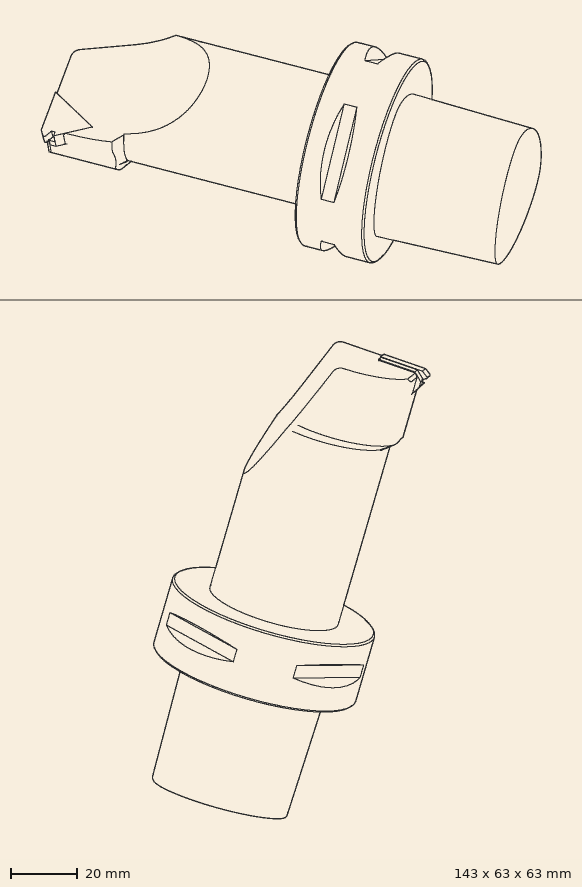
import cadquery as cq
import math

TOTAL_LENGTH = 143.0
SHANK_RADIUS = 20.0
BLEND_X = 24.9

FLANGE_START = 83.1
FLANGE_END = 105.0
FLANGE_RADIUS = 63.0 / 2
FLANGE_CHAMFER = 0.6
GROOVE_COUNT = 4
GROOVE_X = 93.1
GROOVE_FLOOR_WIDTH = 4.0
GROOVE_MOUTH_WIDTH = 7.6
GROOVE_FLOOR_DISTANCE = 27.9

LOBE_COUNT = 3
LOBE_HEIGHT = 1.6
TAPER_ROOT_RADIUS = 22.0
TAPER_END_RADIUS = 21.0
TAPER_POINTS = 36

HEAD_FRONT_X = 0.6
HEAD_END_X = 22.2
HEAD_CENTER_Y = -2.3
HEAD_CENTER_Z = -2.6
SIDE_Y = -23.0
SIDE_FLAT_TOP_Z = -0.1
SIDE_FLAT_BOTTOM_Z = -11.5
SIDE_STRIP_TOP_Z = 5.7
CORNER_RELIEF_X = 1.1
CORNER_RELIEF_Y = 0.9

BACK_ANGLE = 20.0
BACK_END_X = 45.6
BACK_CORNER_RADIUS = 3.0

RAKE_SIDE_ANGLE = 15.0
RAKE_LENGTH_ANGLE = 1.5
RAKE_HEIGHT = 7.0
RELIEF_CENTER = (-7.2, -1.7)
RELIEF_FLAT_RADIUS = 28.2
RELIEF_RUNOUT_RADIUS = 32.2

CROWN_THICKNESS = 3.7
SEAT_THICKNESS = 2.9
INSERT_CORNER = (14.6, -19.6)
INSERT_HALF_ANGLE = 30.0
TOOTH_ROOT_Y = -24.6
TOOTH_TIP = (1.6, -26.9)
TOOTH_TIP_RADIUS = 0.5
NOTCH_Y = -24.2
NOTCH_START_X = 3.1
NOTCH_END_X = 4.3
SEAT_FRONT_X = 0.1
SEAT_FRONT_Y = -23.0
SEAT_BEVEL_X = 2.5
SEAT_END_X = NOTCH_END_X

RAKE_SIDE_SLOPE = math.tan(math.radians(RAKE_SIDE_ANGLE))
RAKE_LENGTH_SLOPE = math.tan(math.radians(RAKE_LENGTH_ANGLE))


def section_plane(x):
    """Plane across the bar: local x is +Y and local y is +Z."""
    return cq.Workplane(cq.Plane(origin=(x, 0, 0), xDir=(0, 1, 0), normal=(1, 0, 0)))


def rake_plane(x, y):
    """Workplane lying on the rake plane, with its origin above (x, y)."""
    z = RAKE_HEIGHT + x * RAKE_LENGTH_SLOPE + y * RAKE_SIDE_SLOPE
    return cq.Workplane(cq.Plane(
        origin=(x, y, z),
        xDir=(1 + RAKE_SIDE_SLOPE**2, -RAKE_LENGTH_SLOPE * RAKE_SIDE_SLOPE, RAKE_LENGTH_SLOPE),
        normal=(-RAKE_LENGTH_SLOPE, -RAKE_SIDE_SLOPE, 1),
    ))


def make_shank():
    return section_plane(BLEND_X).circle(SHANK_RADIUS).extrude(FLANGE_END - BLEND_X)


def make_groove():
    """Trapezoidal groove across the flange, on its +Y side."""
    half_floor = GROOVE_FLOOR_WIDTH / 2
    half_mouth = GROOVE_MOUTH_WIDTH / 2
    return (
        cq.Workplane("XY")
        .moveTo(GROOVE_X - half_floor, GROOVE_FLOOR_DISTANCE)
        .lineTo(GROOVE_X + half_floor, GROOVE_FLOOR_DISTANCE)
        .lineTo(GROOVE_X + half_mouth, FLANGE_RADIUS)
        .lineTo(GROOVE_X - half_mouth, FLANGE_RADIUS)
        .close()
        .extrude(FLANGE_RADIUS, both=True)
    )


def make_flange():
    flange = section_plane(FLANGE_START).circle(FLANGE_RADIUS).extrude(FLANGE_END - FLANGE_START)
    flange = flange.edges().chamfer(FLANGE_CHAMFER)
    step = 360 / GROOVE_COUNT
    for index in range(GROOVE_COUNT):
        flange = flange.cut(make_groove().rotate((0, 0, 0), (1, 0, 0), step * (index + 0.5)))
    return flange


def lobed_points(mean_radius):
    """Curve whose tangent line at angle t lies mean_radius + LOBE_HEIGHT * cos(...) from the axis."""
    points = []
    for index in range(TAPER_POINTS):
        angle = 2 * math.pi * index / TAPER_POINTS
        phase = LOBE_COUNT * (angle - math.pi / 2)
        distance = mean_radius + LOBE_HEIGHT * math.cos(phase)
        slide = -LOBE_COUNT * LOBE_HEIGHT * math.sin(phase)
        points.append((
            distance * math.cos(angle) - slide * math.sin(angle),
            distance * math.sin(angle) + slide * math.cos(angle),
        ))
    return points


def make_taper():
    return (
        section_plane(FLANGE_END)
        .spline(lobed_points(TAPER_ROOT_RADIUS), periodic=True).close()
        .workplane(offset=TOTAL_LENGTH - FLANGE_END)
        .spline(lobed_points(TAPER_END_RADIUS), periodic=True).close()
        .loft(ruled=True)
    )


def side_flat_y(z):
    """Y of the side flat, which is square to the rake, at height z."""
    return SIDE_Y + (SIDE_FLAT_TOP_Z - z) * RAKE_SIDE_SLOPE


def make_head():
    length = HEAD_END_X - HEAD_FRONT_X
    barrel = (
        section_plane(HEAD_FRONT_X)
        .center(HEAD_CENTER_Y, HEAD_CENTER_Z).circle(SHANK_RADIUS).extrude(length)
    )
    pad_outline = [
        (HEAD_CENTER_Y, SIDE_FLAT_BOTTOM_Z),
        (side_flat_y(SIDE_FLAT_BOTTOM_Z), SIDE_FLAT_BOTTOM_Z),
        (SIDE_Y, SIDE_FLAT_TOP_Z),
        (SIDE_Y, SIDE_STRIP_TOP_Z),
        (HEAD_CENTER_Y, SIDE_STRIP_TOP_Z),
    ]
    pad = section_plane(HEAD_FRONT_X).polyline(pad_outline).close().extrude(length)
    pad_blend_depth = SHANK_RADIUS + SIDE_Y
    inner_outline = [
        (HEAD_CENTER_Y, SIDE_FLAT_BOTTOM_Z),
        (side_flat_y(SIDE_FLAT_BOTTOM_Z) - pad_blend_depth, SIDE_FLAT_BOTTOM_Z),
        (-SHANK_RADIUS, SIDE_FLAT_TOP_Z),
        (-SHANK_RADIUS, SIDE_STRIP_TOP_Z),
        (HEAD_CENTER_Y, SIDE_STRIP_TOP_Z),
    ]
    pad_blend = (
        section_plane(HEAD_END_X).polyline(pad_outline).close()
        .workplane(offset=BLEND_X - HEAD_END_X).polyline(inner_outline).close()
        .loft(ruled=True)
    )
    blend = (
        section_plane(HEAD_END_X)
        .center(HEAD_CENTER_Y, HEAD_CENTER_Z).circle(SHANK_RADIUS)
        .workplane(offset=BLEND_X - HEAD_END_X)
        .center(-HEAD_CENTER_Y, -HEAD_CENTER_Z).circle(SHANK_RADIUS)
        .loft(ruled=True)
    )
    core = section_plane(HEAD_FRONT_X).circle(SHANK_RADIUS).extrude(BLEND_X - HEAD_FRONT_X)
    head = core.union(barrel).union(pad).union(blend).union(pad_blend)
    head = head.cut(make_side_cut(0, BLEND_X))
    return head.cut(make_side_cut(CORNER_RELIEF_Y, HEAD_FRONT_X + CORNER_RELIEF_X))


def make_back_cut():
    """Material behind the slanted back and its rounded front corner."""
    slope = math.tan(math.radians(BACK_ANGLE))
    front_y = SHANK_RADIUS - (BACK_END_X - HEAD_FRONT_X) * slope
    block_side = 2 * BACK_END_X
    kept = (
        cq.Workplane("XY", origin=(0, 0, -FLANGE_RADIUS))
        .polyline([
            (HEAD_FRONT_X, -FLANGE_RADIUS),
            (HEAD_FRONT_X, front_y),
            (BACK_END_X, SHANK_RADIUS),
            (BACK_END_X, -FLANGE_RADIUS),
        ])
        .close()
        .extrude(2 * FLANGE_RADIUS)
    )
    corner = cq.selectors.NearestToPointSelector((HEAD_FRONT_X, front_y, 0))
    kept = kept.edges(corner).fillet(BACK_CORNER_RADIUS)
    block = cq.Workplane("XY").box(block_side, block_side, 2 * FLANGE_RADIUS)
    return block.cut(kept)


def make_rake_relief():
    """Disc-shaped cutter: flat centre with a concave run-out around it."""
    runout = RELIEF_RUNOUT_RADIUS
    outer = RELIEF_FLAT_RADIUS + runout
    middle = (
        RELIEF_FLAT_RADIUS + runout * math.sin(math.pi / 4),
        runout * (1 - math.cos(math.pi / 4)),
    )
    base = rake_plane(*RELIEF_CENTER).plane
    profile_plane = cq.Plane(origin=base.origin, xDir=base.xDir, normal=-base.yDir)
    return (
        cq.Workplane(profile_plane)
        .lineTo(RELIEF_FLAT_RADIUS, 0)
        .threePointArc(middle, (outer, runout))
        .lineTo(0, runout)
        .close()
        .revolve(360, (0, 0), (0, 1))
    )


def make_side_cut(inset, end_x):
    """Material beyond the side flat, moved inward by inset at the front and by nothing at end_x."""
    bottom_z = HEAD_CENTER_Z - SHANK_RADIUS
    bottom_y = side_flat_y(bottom_z)

    def section(shift):
        return [
            (SIDE_Y + shift, SIDE_FLAT_TOP_Z),
            (bottom_y + shift, bottom_z),
            (-FLANGE_RADIUS, bottom_z),
            (-FLANGE_RADIUS, SIDE_FLAT_TOP_Z),
        ]

    return (
        section_plane(HEAD_FRONT_X).polyline(section(inset)).close()
        .workplane(offset=end_x - HEAD_FRONT_X).polyline(section(0)).close()
        .loft(ruled=True)
    )


def make_insert():
    slope = math.tan(math.radians(INSERT_HALF_ANGLE))
    corner_x, corner_y = INSERT_CORNER
    back_point = (0, corner_y + corner_x * slope)

    def lower_edge(x):
        return (x, corner_y - (corner_x - x) * slope)

    crown = (
        rake_plane(0, 0)
        .polyline([
            back_point,
            INSERT_CORNER,
            lower_edge(NOTCH_END_X),
            (NOTCH_END_X, NOTCH_Y),
            (NOTCH_START_X, NOTCH_Y),
            TOOTH_TIP,
            (0, TOOTH_ROOT_Y),
        ])
        .close()
        .extrude(-CROWN_THICKNESS)
    )
    tip = rake_plane(0, 0).plane.toWorldCoords((*TOOTH_TIP, -CROWN_THICKNESS / 2))
    crown = crown.edges(cq.selectors.NearestToPointSelector(tip)).fillet(TOOTH_TIP_RADIUS)
    seat_tip = lower_edge(SEAT_END_X)
    seat = (
        rake_plane(0, 0).workplane(offset=-CROWN_THICKNESS)
        .polyline([
            (SEAT_FRONT_X, corner_y + (corner_x - SEAT_FRONT_X) * slope),
            INSERT_CORNER,
            seat_tip,
            (SEAT_BEVEL_X, seat_tip[1]),
            (SEAT_FRONT_X, SEAT_FRONT_Y),
        ])
        .close()
        .extrude(-SEAT_THICKNESS)
    )
    return crown.union(seat)


insert = make_insert()

holder = make_head().union(make_shank()).union(make_flange()).union(make_taper())
holder = holder.cut(make_back_cut()).cut(make_rake_relief())
holder = holder.cut(insert)

result = cq.Compound.makeCompound([holder.val(), insert.val()])